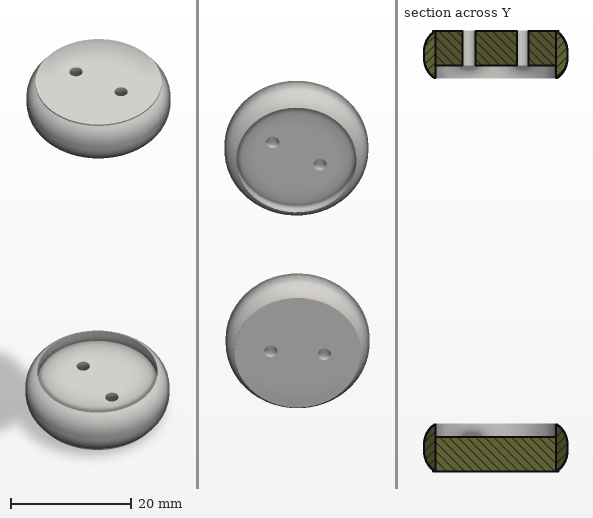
import cadquery as cq
import math

TOTAL_HEIGHT = 73.3
WHEEL_WIDTH = 8.0
WHEEL_SPACING = TOTAL_HEIGHT - WHEEL_WIDTH
LOWER_WHEEL_Y_OFFSET = -0.4
UPPER_HOLE_ANGLE = -5.5
LOWER_HOLE_ANGLE = -30.3

TIRE_RADIUS = 24.0 / 2
BORE_RADIUS = 20.0 / 2
SHOULDER_RADIUS = 21.0 / 2
BAND_WIDTH = 1.1

RECESS_DEPTH = 2.2
HUB_THICKNESS = WHEEL_WIDTH - RECESS_DEPTH
HOLE_DIAMETER = 2.2
HOLE_SPACING = 8.95

HALF_WIDTH = WHEEL_WIDTH / 2
HALF_BAND = BAND_WIDTH / 2
BULGE_RISE = TIRE_RADIUS - BORE_RADIUS
BULGE_SPAN = HALF_WIDTH - HALF_BAND
BULGE_RADIUS = (BULGE_RISE**2 + BULGE_SPAN**2) / (2 * BULGE_RISE)
BULGE_CENTER_RADIUS = TIRE_RADIUS - BULGE_RADIUS


def bulge_height(radius):
    """Height above the band edge at which the bulge arc reaches a radius."""
    return math.sqrt(BULGE_RADIUS**2 - (radius - BULGE_CENTER_RADIUS)**2)


def bulge_midpoint(end_radius):
    """Radius and height above the band edge halfway along the arc to end_radius."""
    half_angle = math.acos((end_radius - BULGE_CENTER_RADIUS) / BULGE_RADIUS) / 2
    return (
        BULGE_CENTER_RADIUS + BULGE_RADIUS * math.cos(half_angle),
        BULGE_RADIUS * math.sin(half_angle),
    )


def make_tire():
    """Bulging ring centred on the origin, closed end up."""
    lower_mid_radius, lower_mid_height = bulge_midpoint(BORE_RADIUS)
    upper_mid_radius, upper_mid_height = bulge_midpoint(SHOULDER_RADIUS)
    shoulder_z = HALF_BAND + bulge_height(SHOULDER_RADIUS)
    return (
        cq.Workplane("XZ")
        .moveTo(BORE_RADIUS, -HALF_WIDTH)
        .threePointArc((lower_mid_radius, -HALF_BAND - lower_mid_height), (TIRE_RADIUS, -HALF_BAND))
        .lineTo(TIRE_RADIUS, HALF_BAND)
        .threePointArc((upper_mid_radius, HALF_BAND + upper_mid_height), (SHOULDER_RADIUS, shoulder_z))
        .lineTo(SHOULDER_RADIUS, HALF_WIDTH)
        .lineTo(BORE_RADIUS, HALF_WIDTH)
        .close()
        .revolve(360, (0, 0, 0), (0, 1, 0))
    )


def make_hub():
    """Hub disc with two through holes along X, in place inside the tire."""
    return (
        cq.Workplane("XY")
        .workplane(offset=HALF_WIDTH - HUB_THICKNESS)
        .circle(BORE_RADIUS)
        .pushPoints([(-HOLE_SPACING / 2, 0), (HOLE_SPACING / 2, 0)])
        .circle(HOLE_DIAMETER / 2)
        .extrude(HUB_THICKNESS)
    )


def place_upper(body):
    """Closed end up."""
    return (
        body.rotate((0, 0, 0), (0, 0, 1), UPPER_HOLE_ANGLE)
        .translate((0, 0, WHEEL_SPACING / 2))
    )


def place_lower(body):
    """Turned over so that the closed end faces down."""
    return (
        body.rotate((0, 0, 0), (1, 0, 0), 180)
        .rotate((0, 0, 0), (0, 0, 1), LOWER_HOLE_ANGLE)
        .translate((0, LOWER_WHEEL_Y_OFFSET, -WHEEL_SPACING / 2))
    )


bodies = []
for place_wheel in (place_upper, place_lower):
    tire = place_wheel(make_tire())
    hub = place_wheel(make_hub())
    bodies += [tire.val(), hub.val()]

result = cq.Compound.makeCompound(bodies)